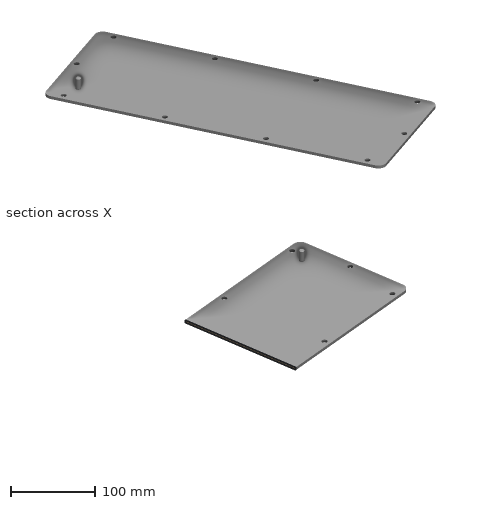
import cadquery as cq

length = 440.0
width = 167.0
thickness = 4.0
corner_radius = 10.0

hole_diameter = 7.0
edge_inset = 8.0
hole_pitch = 131.0
holes_per_row = 4

total_height = 19.0
stud_diameter = 6.5
stud_chamfer = 1.0
stud_x = -187.0
stud_y = -53.5


def make_plate():
    """Flat plate with rounded corners, its underside at Z = 0."""
    plate = cq.Workplane("XY").box(length, width, thickness, centered=(True, True, False))
    return plate.edges("|Z").fillet(corner_radius)


def hole_positions():
    """Two long rows of evenly spaced holes and one hole at the middle of each end."""
    row_y = width / 2 - edge_inset
    end_x = length / 2 - edge_inset
    first_x = -hole_pitch * (holes_per_row - 1) / 2
    positions = [(-end_x, 0), (end_x, 0)]
    for index in range(holes_per_row):
        x = first_x + index * hole_pitch
        positions += [(x, -row_y), (x, row_y)]
    return positions


def make_stud():
    """Round stud with a chamfered tip, standing on the plate's top face."""
    stud = (
        cq.Workplane("XY", origin=(stud_x, stud_y, thickness))
        .circle(stud_diameter / 2)
        .extrude(total_height - thickness)
    )
    return stud.faces(">Z").chamfer(stud_chamfer)


drilled_plate = (
    make_plate()
    .faces(">Z")
    .workplane(origin=(0, 0, thickness))
    .pushPoints(hole_positions())
    .hole(hole_diameter)
)
result = drilled_plate.union(make_stud())